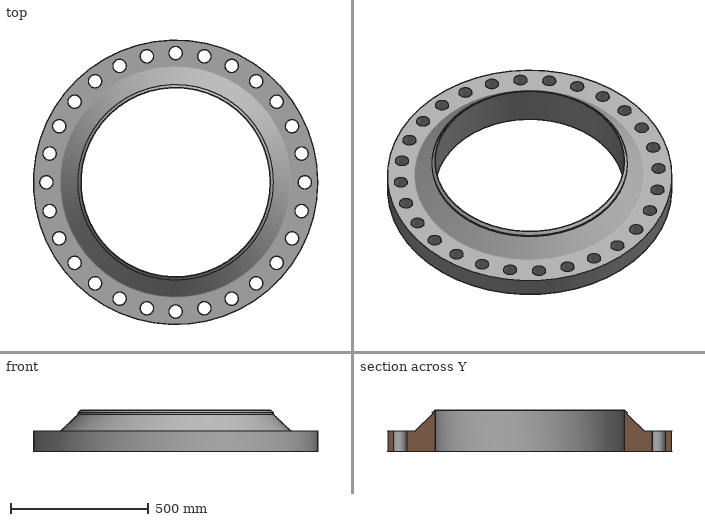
import cadquery as cq

plate_diameter = 1035.0
plate_thickness = 76.0
total_height = 151.0

bore_diameter = 687.0
hub_base_diameter = 836.0
hub_end_diameter = 711.0
hub_end_height = 6.0
foot_fillet = 7.0
bevel_height = 9.0
root_face_width = 1.6

bolt_count = 28
bolt_circle_diameter = 940.0
bolt_hole_diameter = 48.0


def flange_body():
    """Revolve the plate, tapered hub and weld bevel around the Z axis."""
    plate_radius = plate_diameter / 2
    bore_radius = bore_diameter / 2
    foot_radius = hub_base_diameter / 2
    end_radius = hub_end_diameter / 2
    bevel_bottom = total_height - bevel_height
    profile = [
        (bore_radius, 0),
        (plate_radius, 0),
        (plate_radius, plate_thickness),
        (foot_radius, plate_thickness),
        (end_radius, bevel_bottom - hub_end_height),
        (end_radius, bevel_bottom),
        (bore_radius + root_face_width, total_height),
        (bore_radius, total_height),
    ]
    body = cq.Workplane("XZ").polyline(profile).close().revolve(360, (0, 0, 0), (0, 1, 0))
    hub_foot = cq.selectors.RadiusNthSelector(-2)
    return body.edges(hub_foot).fillet(foot_fillet)


def bolt_holes():
    """Through holes spaced evenly on the bolt circle, the first on the X axis."""
    return (
        cq.Workplane("XY")
        .polarArray(bolt_circle_diameter / 2, 0, 360, bolt_count)
        .circle(bolt_hole_diameter / 2)
        .extrude(plate_thickness)
    )


result = flange_body().cut(bolt_holes())